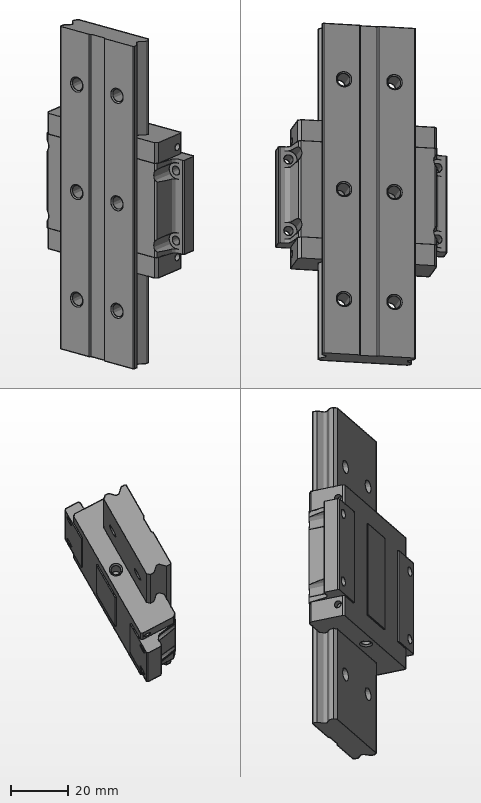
import cadquery as cq
import math


RAIL_LENGTH = 120.0
CARRIAGE_WIDTH = 60.0
TOTAL_HEIGHT = 17.0

RAIL_WIDTH = 33.0
RAIL_HEIGHT = 9.4
RAIL_NECK_WIDTH = 29.2
NECK_BOTTOM = 3.8
NECK_TOP = 4.9
NECK_CORNER_RADIUS = 0.6
HEAD_CORNER_RADIUS = 1.5
RAIL_TOP_CHAMFER_WIDTH = 1.0
RAIL_TOP_CHAMFER_HEIGHT = 1.1
RAIL_BASE_CHAMFER = 0.4
RELIEF_WIDTH = 6.8
RELIEF_DEPTH = 0.5

RAIL_HOLE_DIAMETER = 4.5
RAIL_HOLE_CHAMFER = 0.5
RAIL_HOLE_SPACING = 18.0
RAIL_HOLE_PITCH = RAIL_LENGTH / 3

BLOCK_LENGTH = 35.0
BLOCK_BOTTOM = 2.4
BLOCK_BOTTOM_WIDTH = 47.8
BLOCK_BOTTOM_CHAMFER_HEIGHT = 0.5
SIDE_LEAN = math.radians(10)
FLANGE_BOTTOM = 11.0
FLANGE_CHAMFER = 0.5
FILLET_START_WIDTH = 55.5
FILLET_RADIUS = 1.9
GROOVE_INNER_WIDTH = 13.7
GROOVE_OUTER_WIDTH = 35.5

FLANGE_HOLE_DIAMETER = 3.2
FLANGE_HOLE_SPACING_X = 53.0
FLANGE_HOLE_SPACING_Z = 26.0
SPOT_FACE_DIAMETER = 6.0

CARRIAGE_LENGTH = 50.4
CAP_WIDTH = 49.5
CAP_BOTTOM = 2.5
CAP_TOP_STEP = 0.5
CAP_TOP = TOTAL_HEIGHT - CAP_TOP_STEP
CAP_BOTTOM_CHAMFER = 1.1
CAP_TOP_CHAMFER_WIDTH = 0.5
CAP_TOP_CHAMFER_HEIGHT = 0.7
SIDE_HOLE_DIAMETER = 2.5
SIDE_HOLE_DEPTH = 2.0
SIDE_HOLE_HEIGHT = 14.0
SIDE_HOLE_OFFSET = 3.0
PORT_DIAMETER = 3.4
PORT_MOUTH_DIAMETER = 4.5
PORT_HEIGHT = 13.0

CAP_LENGTH = (CARRIAGE_LENGTH - BLOCK_LENGTH) / 2
ENDS = (-1, 1)


def extrude_along_z(outline, length):
    """Extrude an XY outline symmetrically about Z = 0."""
    return outline.close().extrude(length / 2, both=True)


def mirrored_profile(right_half, length):
    """Prism whose section is the given right half plus its mirror image about X = 0."""
    left_half = [(-x, y) for x, y in reversed(right_half)]
    return extrude_along_z(cq.Workplane("XY").polyline(right_half + left_half), length)


def cylinder_along_y(diameter, x, z, bottom, top):
    """Cylinder parallel to Y between two heights."""
    base = cq.Vector(x, bottom, z)
    return cq.Workplane(cq.Solid.makeCylinder(diameter / 2, top - bottom, base, cq.Vector(0, 1, 0)))


def rail_prism():
    """Rail with 45 degree side grooves and rounded corners, before the relief and holes."""
    half = RAIL_WIDTH / 2
    neck = RAIL_NECK_WIDTH / 2
    groove_depth = half - neck
    base_top = NECK_BOTTOM - groove_depth
    head_bottom = NECK_TOP + groove_depth
    prism = mirrored_profile(
        [
            (half - RAIL_BASE_CHAMFER, 0),
            (half, RAIL_BASE_CHAMFER),
            (half, base_top),
            (neck, NECK_BOTTOM),
            (neck, NECK_TOP),
            (half, head_bottom),
            (half, RAIL_HEIGHT - RAIL_TOP_CHAMFER_HEIGHT),
            (half - RAIL_TOP_CHAMFER_WIDTH, RAIL_HEIGHT),
        ],
        RAIL_LENGTH,
    )
    for side in ENDS:
        for y, x, radius in (
            (NECK_BOTTOM, neck, NECK_CORNER_RADIUS),
            (NECK_TOP, neck, NECK_CORNER_RADIUS),
            (head_bottom, half, HEAD_CORNER_RADIUS),
        ):
            corner = cq.selectors.NearestToPointSelector((side * x, y, 0))
            prism = prism.edges("|Z").edges(corner).fillet(radius)
    return prism


def rail_hole(x, z):
    """Through hole with a chamfered mouth on the mounting face."""
    radius = RAIL_HOLE_DIAMETER / 2
    mouth = cq.Solid.makeCone(
        radius + RAIL_HOLE_CHAMFER, radius, RAIL_HOLE_CHAMFER, cq.Vector(x, 0, z), cq.Vector(0, 1, 0)
    )
    return cylinder_along_y(RAIL_HOLE_DIAMETER, x, z, 0, RAIL_HEIGHT).union(cq.Workplane(mouth))


def make_rail():
    relief_half = RELIEF_WIDTH / 2
    relief = mirrored_profile([(relief_half, 0), (relief_half - RELIEF_DEPTH, RELIEF_DEPTH)], RAIL_LENGTH)
    rail = rail_prism().cut(relief)

    for side in ENDS:
        for row in (-1, 0, 1):
            rail = rail.cut(rail_hole(side * RAIL_HOLE_SPACING / 2, row * RAIL_HOLE_PITCH))
    return rail


def make_block():
    """Flanged middle of the carriage: leaning sides blend into the flange with a fillet."""
    half = CARRIAGE_WIDTH / 2
    side_y = BLOCK_BOTTOM + BLOCK_BOTTOM_CHAMFER_HEIGHT
    fillet_x = FILLET_START_WIDTH / 2
    fillet_center_y = FLANGE_BOTTOM - FILLET_RADIUS

    def on_fillet(angle):
        return (fillet_x - FILLET_RADIUS * math.sin(angle), fillet_center_y + FILLET_RADIUS * math.cos(angle))

    fillet_sweep = math.pi / 2 - SIDE_LEAN
    fillet_end_x, fillet_end_y = on_fillet(fillet_sweep)
    side_x = fillet_end_x - (fillet_end_y - side_y) * math.tan(SIDE_LEAN)

    half_outline = (
        cq.Workplane("XY")
        .moveTo(0, BLOCK_BOTTOM)
        .lineTo(BLOCK_BOTTOM_WIDTH / 2, BLOCK_BOTTOM)
        .lineTo(side_x, side_y)
        .lineTo(fillet_end_x, fillet_end_y)
        .threePointArc(on_fillet(fillet_sweep / 2), on_fillet(0))
        .lineTo(half - FLANGE_CHAMFER, FLANGE_BOTTOM)
        .lineTo(half, FLANGE_BOTTOM + FLANGE_CHAMFER)
        .lineTo(half, TOTAL_HEIGHT - FLANGE_CHAMFER)
        .lineTo(half - FLANGE_CHAMFER, TOTAL_HEIGHT)
        .lineTo(GROOVE_OUTER_WIDTH / 2, TOTAL_HEIGHT)
        .lineTo(GROOVE_OUTER_WIDTH / 2, CAP_TOP)
        .lineTo(GROOVE_INNER_WIDTH / 2, CAP_TOP)
        .lineTo(GROOVE_INNER_WIDTH / 2, TOTAL_HEIGHT)
        .lineTo(0, TOTAL_HEIGHT)
    )
    half_block = extrude_along_z(half_outline, BLOCK_LENGTH)
    return half_block.union(half_block.mirror("YZ"))


def make_caps():
    """Both end caps: one prism with the length of the block cut out of its middle."""
    half = CAP_WIDTH / 2
    prism = mirrored_profile(
        [
            (half - CAP_BOTTOM_CHAMFER, CAP_BOTTOM),
            (half, CAP_BOTTOM + CAP_BOTTOM_CHAMFER),
            (half, CAP_TOP - CAP_TOP_CHAMFER_HEIGHT),
            (half - CAP_TOP_CHAMFER_WIDTH, CAP_TOP),
        ],
        CARRIAGE_LENGTH,
    )
    return prism.cut(cq.Workplane("XY").box(2 * CAP_WIDTH, 2 * TOTAL_HEIGHT, BLOCK_LENGTH))


def flange_hole(side, z):
    """Through hole with a U-shaped spot face, open outwards, level with the flange underside."""
    x = side * FLANGE_HOLE_SPACING_X / 2
    hole = cylinder_along_y(FLANGE_HOLE_DIAMETER, x, z, BLOCK_BOTTOM, TOTAL_HEIGHT)
    spot_face = cylinder_along_y(SPOT_FACE_DIAMETER, x, z, BLOCK_BOTTOM, FLANGE_BOTTOM)
    run_out = CARRIAGE_WIDTH / 2 - abs(x)
    open_side = (
        cq.Workplane("XY")
        .box(run_out, FLANGE_BOTTOM - BLOCK_BOTTOM, SPOT_FACE_DIAMETER)
        .translate((x + side * run_out / 2, (FLANGE_BOTTOM + BLOCK_BOTTOM) / 2, z))
    )
    return hole.union(spot_face).union(open_side)


def cap_side_hole(side, end):
    """Blind hole in the side of an end cap."""
    start = cq.Vector(side * CAP_WIDTH / 2, SIDE_HOLE_HEIGHT, end * (BLOCK_LENGTH / 2 + SIDE_HOLE_OFFSET))
    inwards = cq.Vector(-side, 0, 0)
    return cq.Workplane(cq.Solid.makeCylinder(SIDE_HOLE_DIAMETER / 2, SIDE_HOLE_DEPTH, start, inwards))


def lubrication_port(end):
    """Countersunk hole through the thickness of an end cap."""
    start = cq.Vector(0, PORT_HEIGHT, end * CARRIAGE_LENGTH / 2)
    inwards = cq.Vector(0, 0, -end)
    mouth_depth = (PORT_MOUTH_DIAMETER - PORT_DIAMETER) / 2
    mouth = cq.Solid.makeCone(PORT_MOUTH_DIAMETER / 2, PORT_DIAMETER / 2, mouth_depth, start, inwards)
    bore = cq.Solid.makeCylinder(PORT_DIAMETER / 2, CAP_LENGTH, start, inwards)
    return cq.Workplane(bore).union(cq.Workplane(mouth))


def make_carriage():
    carriage = make_block().union(make_caps())
    for end in ENDS:
        carriage = carriage.cut(lubrication_port(end))
        for side in ENDS:
            carriage = carriage.cut(flange_hole(side, end * FLANGE_HOLE_SPACING_Z / 2))
            carriage = carriage.cut(cap_side_hole(side, end))

    return carriage.cut(rail_prism())


rail = make_rail()
carriage = make_carriage()

result = cq.Compound.makeCompound([rail.val(), carriage.val()])